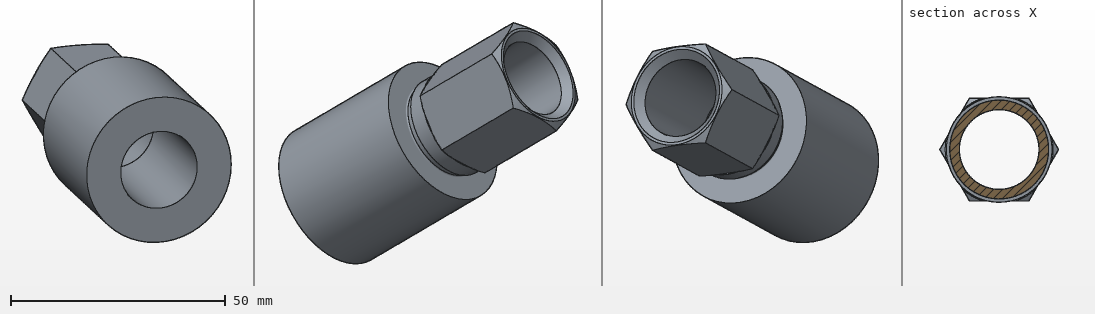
import cadquery as cq
import math

total_length = 69.3
hex_length = 26.05
collar_length = 4.1
neck_length = 1.7
spigot_length = 0.35
collar_start = hex_length
neck_start = collar_start + collar_length
neck_end = neck_start + neck_length
sleeve_face = neck_end + spigot_length

across_flats = 24.0
across_corners = across_flats / math.cos(math.radians(30))
front_chamfer_diameter = 23.7
rear_chamfer_diameter = 25.15
chamfer_slope = math.tan(math.radians(30))
collar_diameter = 24.6
neck_diameter = 23.1
spigot_diameter = neck_diameter
sleeve_diameter = 35.0
bore_diameter = 18.5
mouth_diameter = 22.4
mouth_depth = (mouth_diameter - bore_diameter) / 2


def cylinder(start, end, diameter):
    """Round bar along X between two axial positions."""
    return cq.Workplane("YZ", origin=(start, 0, 0)).circle(diameter / 2).extrude(end - start)


def revolve_profile(points):
    """Turn a closed (axial, radial) outline about the X axis."""
    return cq.Workplane("XY").polyline(points).close().revolve(360, (0, 0, 0), (1, 0, 0))


def make_chamfered_hex():
    """Hexagon with corners on +Y and -Y, turned to a cone at both ends."""
    prism = cq.Workplane("YZ").polygon(6, across_corners).extrude(hex_length)
    corner_radius = across_corners / 2
    front_radius = front_chamfer_diameter / 2
    rear_radius = rear_chamfer_diameter / 2
    front_chamfer = (corner_radius - front_radius) * chamfer_slope
    rear_chamfer = (corner_radius - rear_radius) * chamfer_slope
    envelope = revolve_profile([
        (0, 0),
        (0, front_radius),
        (front_chamfer, corner_radius),
        (hex_length - rear_chamfer, corner_radius),
        (hex_length, rear_radius),
        (hex_length, 0),
    ])
    return prism.intersect(envelope)


def make_nut():
    """Hex nut with a rear collar and neck, bored through with a conical mouth."""
    collar = cylinder(collar_start, neck_start, collar_diameter)
    neck = cylinder(neck_start, neck_end, neck_diameter)
    bore = cylinder(0, neck_end, bore_diameter)
    mouth = revolve_profile([
        (0, 0),
        (0, mouth_diameter / 2),
        (mouth_depth, bore_diameter / 2),
        (mouth_depth, 0),
    ])
    return make_chamfered_hex().union(collar).union(neck).cut(bore).cut(mouth)


def make_spigot():
    """Short root that flares from the nut's neck out to the sleeve face as a concave fillet."""
    inner_radius = spigot_diameter / 2
    outer_radius = inner_radius + spigot_length
    arc_offset = spigot_length * math.sin(math.radians(45))
    profile = (
        cq.Workplane("XY")
        .moveTo(neck_end, 0)
        .lineTo(neck_end, inner_radius)
        .threePointArc((neck_end + arc_offset, outer_radius - arc_offset), (sleeve_face, outer_radius))
        .lineTo(sleeve_face, 0)
        .close()
    )
    return profile.revolve(360, (0, 0, 0), (1, 0, 0))


def make_sleeve():
    """Plain bored cylinder whose flared spigot butts against the nut's neck."""
    body = cylinder(sleeve_face, total_length, sleeve_diameter)
    bore = cylinder(neck_end, total_length, bore_diameter)
    return body.union(make_spigot()).cut(bore)


nut = make_nut()
sleeve = make_sleeve()

result = cq.Compound.makeCompound([nut.val(), sleeve.val()])